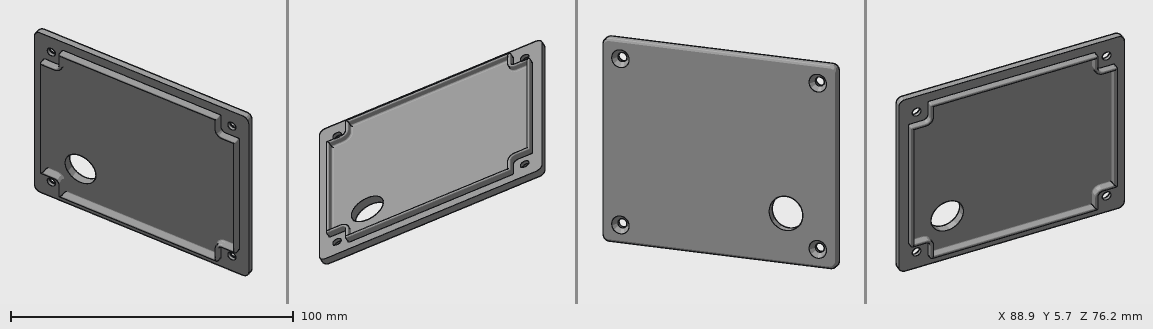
import cadquery as cq
import math


plate_length = 88.9
plate_height = 76.2
plate_thickness = 3.2
plate_corner_radius = 2.6
plate_edge_radius = 1.25

lip_height = 2.5
lip_wall = 1.25
lip_edge_radius = 0.61
lip_foot_radius = 0.63
lip_inset = 3.8
lip_notch_inset = 11.5
notch_radius = 2.0

screw_hole_diameter = 3.4
screw_hole_inset = 7.0
countersink_depth = 1.9
countersink_angle = 82

cable_hole_diameter = 12.7
cable_hole_x = -25.3
cable_hole_z = -19.1


def block(length, height, depth):
    """Box centred in X and Z that starts at Y = 0 and extends by depth along -Y."""
    return cq.Workplane("XZ").rect(length, height).extrude(depth)


def notched_block(edge_inset, notch_inset, inner_radius):
    """Block as deep as the lip, with a notch at each corner whose inner corner is round."""
    long_block = block(plate_length - 2 * edge_inset, plate_height - 2 * notch_inset, lip_height)
    tall_block = block(plate_length - 2 * notch_inset, plate_height - 2 * edge_inset, lip_height)
    corner_x = plate_length / 2 - notch_inset
    corner_z = plate_height / 2 - notch_inset
    inner_corners = cq.selectors.BoxSelector(
        (-corner_x - inner_radius, -lip_height, -corner_z - inner_radius),
        (corner_x + inner_radius, 0, corner_z + inner_radius),
    )
    return long_block.union(tall_block).edges("|Y").edges(inner_corners).fillet(inner_radius)


def make_plate():
    plate = block(plate_length, plate_height, -plate_thickness)
    plate = plate.edges("|Y").fillet(plate_corner_radius)
    return plate.faces(">Y").edges().fillet(plate_edge_radius)


def make_lip():
    outer = notched_block(lip_inset, lip_notch_inset, notch_radius)
    outer = outer.faces("<X or >X or <Z or >Z").edges("|Y").fillet(lip_edge_radius)
    cavity = notched_block(lip_inset + lip_wall, lip_notch_inset + lip_wall, notch_radius + lip_wall)
    cavity = cavity.faces(">Y").edges().fillet(lip_foot_radius)
    return outer.cut(cavity).faces("<Y").edges().fillet(lip_edge_radius)


def screw_hole_centres():
    """Centres of the four screw holes on the outer face of the plate."""
    spacing_x = plate_length - 2 * screw_hole_inset
    spacing_z = plate_height - 2 * screw_hole_inset
    outer_face = cq.Workplane("XZ", origin=(0, plate_thickness, 0))
    return outer_face.rect(spacing_x, spacing_z, forConstruction=True).vertices()


def make_screw_holes():
    half_angle = countersink_angle / 2
    flare = countersink_depth * math.tan(math.radians(half_angle))
    hole_radius = screw_hole_diameter / 2
    shanks = screw_hole_centres().circle(hole_radius).extrude(plate_thickness)
    heads = screw_hole_centres().circle(hole_radius + flare).extrude(countersink_depth, taper=half_angle)
    return shanks.union(heads)


def make_cable_hole():
    return (
        cq.Workplane("XZ")
        .center(cable_hole_x, cable_hole_z)
        .circle(cable_hole_diameter / 2)
        .extrude(-plate_thickness)
    )


result = make_plate().union(make_lip()).cut(make_screw_holes()).cut(make_cable_hole())